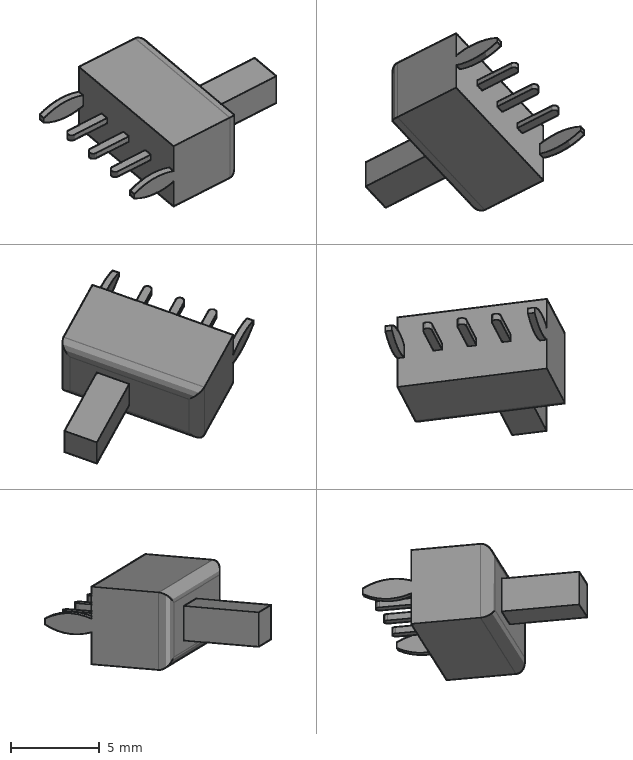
import cadquery as cq

width = 8.7
length = 12.0
height = 4.5

lever_length = 4.5
tab_length = 2.81
body_depth = length - lever_length - tab_length
edge_radius = 0.67

lever_side = 2.0
lever_offset = 1.0

pin_pitch = 2.0
pin_length = 2.6
pin_width = 0.5
pin_thickness = 0.4

tab_thickness = 0.4
tab_height = 1.2
tab_root_height = 0.79
tab_tip_height = 0.34
tab_widest_at = 1.18


def block(x_size, y_size, z_size):
    """Box centred on X and Z, growing from y = 0 toward +Y."""
    return cq.Workplane("XY").box(x_size, y_size, z_size, centered=(True, False, True))


def make_housing():
    return block(width, body_depth, height).faces(">Y").edges().fillet(edge_radius)


def make_lever():
    lever = block(lever_side, lever_length, lever_side)
    return lever.translate((lever_offset, body_depth, 0))


def make_pin(x_center):
    """Flat pin pointing toward -Y with a fully rounded tip."""
    half_width = pin_width / 2
    shoulder = -(pin_length - half_width)
    return (
        cq.Workplane("XY", origin=(x_center, 0, -pin_thickness / 2))
        .moveTo(-half_width, 0)
        .lineTo(-half_width, shoulder)
        .threePointArc((0, -pin_length), (half_width, shoulder))
        .lineTo(half_width, 0)
        .close()
        .extrude(pin_thickness)
    )


def make_tab(x_start):
    """Leaf profile in the YZ plane, extruded along +X from x_start."""
    root = tab_root_height / 2
    tip = tab_tip_height / 2
    belly = tab_height / 2
    return (
        cq.Workplane("YZ", origin=(x_start, 0, 0))
        .moveTo(0, root)
        .threePointArc((-tab_widest_at, belly), (-tab_length, tip))
        .lineTo(-tab_length, -tip)
        .threePointArc((-tab_widest_at, -belly), (0, -root))
        .close()
        .extrude(tab_thickness)
    )


result = make_housing().union(make_lever())

for position in (-1, 0, 1):
    result = result.union(make_pin(position * pin_pitch))

for x_start in (-width / 2, width / 2 - tab_thickness):
    result = result.union(make_tab(x_start))